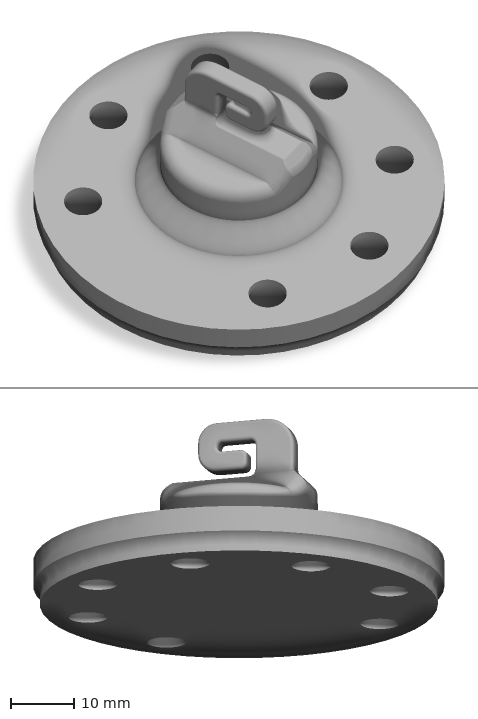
import cadquery as cq
import math

flange_radius = 32.5
flange_bottom = 3.0
flange_top = 7.0
lip_radius = 31.45
cove_radius = 2.1

hole_places = 8
empty_place = 6
hole_circle_radius = 25.0
hole_diameter = 6.05

boss_radius = 12.5
boss_bottom = 11.0
boss_top = 16.95
cone_radius = boss_radius + boss_bottom - flange_top
boss_rounding = 1.95

bar_width = 3.2
hook_top = 29.7
hook_left = -9.5
hook_right = 6.4
hook_inner_left = -3.2
tip_left = -1.7
slot_height = 1.55
heel_radius = 4.7
nose_radius = 3.1
tip_radius = 1.0
throat_radius = 1.0
edge_rounding = 0.5

foot_height = 21.0
ridge_height = 20.15
ridge_rounding = 0.4
foot_rounding = 1.0
step_rounding = 0.8

half_bar = bar_width / 2


def make_base():
    """Lip, cove, flange and cone turned about Z."""
    step = flange_radius - lip_radius
    cove_drop = math.sqrt(cove_radius**2 - (cove_radius - step) ** 2)
    half_drop = cove_drop / 2
    cove_middle = lip_radius + cove_radius - math.sqrt(cove_radius**2 - half_drop**2)
    profile = (
        cq.Workplane("XZ")
        .lineTo(lip_radius, 0)
        .lineTo(lip_radius, flange_bottom - cove_drop)
        .threePointArc((cove_middle, flange_bottom - half_drop), (flange_radius, flange_bottom))
        .lineTo(flange_radius, flange_top)
        .lineTo(cone_radius, flange_top)
        .lineTo(boss_radius, boss_bottom)
        .lineTo(0, boss_bottom)
        .close()
    )
    return profile.revolve(360, (0, 0, 0), (0, 1, 0))


def make_holes():
    """Cylinders for the bolt holes right through the flange."""
    places = [
        (
            hole_circle_radius * math.cos(math.tau * place / hole_places),
            hole_circle_radius * math.sin(math.tau * place / hole_places),
        )
        for place in range(hole_places)
        if place != empty_place
    ]
    return cq.Workplane("XY").pushPoints(places).circle(hole_diameter / 2).extrude(flange_top)


def boss_cylinder(top):
    """Cylinder standing on the cone and reaching up to the given height."""
    return cq.Workplane("XY").workplane(offset=boss_bottom).circle(boss_radius).extrude(top - boss_bottom)


def gable(plane, half_foot, top):
    """Long flat-topped prism; its 45 degree slopes lie half_foot from the middle at foot height."""
    half_top = half_foot + foot_height - top
    half_bottom = half_foot + foot_height - boss_bottom
    return (
        cq.Workplane(plane)
        .moveTo(-half_bottom, boss_bottom)
        .lineTo(-half_top, top)
        .lineTo(half_top, top)
        .lineTo(half_bottom, boss_bottom)
        .close()
        .extrude(2 * boss_radius, both=True)
    )


def make_roof(top):
    """Hipped roof whose slopes pass through the outer end and the sides of the hook at foot height."""
    return gable("YZ", half_bar, top).intersect(gable("XZ", -hook_left, top))


def make_ridge():
    """Roof trimmed to the boss, with a step down beside the foot of the hook."""
    roof = make_roof(foot_height)
    ridge = boss_cylinder(foot_height).intersect(roof).edges("%ELLIPSE").fillet(boss_rounding)

    low_part = make_roof(ridge_height).edges("not <Z").fillet(ridge_rounding)

    step_end = hook_inner_left + step_rounding
    high_part = roof.edges("not(#Z or |X or |Y)").fillet(ridge_rounding)
    step = (
        cq.Workplane("XZ")
        .moveTo(hook_inner_left, foot_height)
        .lineTo(hook_inner_left, ridge_height + step_rounding)
        .radiusArc((step_end, ridge_height), -step_rounding)
        .lineTo(step_end, boss_bottom)
        .lineTo(-2 * boss_radius, boss_bottom)
        .lineTo(-2 * boss_radius, foot_height)
        .close()
        .extrude(boss_radius, both=True)
    )
    return ridge.intersect(low_part.union(high_part.intersect(step)))


def bend(path, centre_x, centre_z, radius, start, end):
    """Add an arc about a centre, running from the start angle to the end angle in degrees."""
    middle = math.radians((start + end) / 2)
    last = math.radians(end)
    return path.threePointArc(
        (centre_x + radius * math.cos(middle), centre_z + radius * math.sin(middle)),
        (centre_x + radius * math.cos(last), centre_z + radius * math.sin(last)),
    )


def make_hook():
    """Hook-shaped plate in the XZ plane with rounded edges; the slot opens towards its foot."""
    slot_top = hook_top - bar_width
    slot_bottom = slot_top - slot_height
    slot_radius = slot_height / 2
    slot_end = hook_right - bar_width
    tip_bottom = slot_bottom - bar_width

    path = cq.Workplane("XZ", origin=(0, half_bar, 0)).moveTo(hook_left, foot_height)

    path = path.lineTo(hook_left, hook_top - heel_radius)
    path = bend(path, hook_left + heel_radius, hook_top - heel_radius, heel_radius, 180, 90)
    path = path.lineTo(hook_right - nose_radius, hook_top)
    path = bend(path, hook_right - nose_radius, hook_top - nose_radius, nose_radius, 90, 0)
    path = path.lineTo(hook_right, tip_bottom + nose_radius)
    path = bend(path, hook_right - nose_radius, tip_bottom + nose_radius, nose_radius, 0, -90)

    path = path.lineTo(tip_left + tip_radius, tip_bottom)
    path = bend(path, tip_left + tip_radius, tip_bottom + tip_radius, tip_radius, 270, 180)
    path = path.lineTo(tip_left, slot_bottom - tip_radius)
    path = bend(path, tip_left + tip_radius, slot_bottom - tip_radius, tip_radius, 180, 90)

    path = path.lineTo(slot_end - slot_radius, slot_bottom)
    path = bend(path, slot_end - slot_radius, slot_top - slot_radius, slot_radius, -90, 90)
    path = path.lineTo(hook_inner_left + throat_radius, slot_top)
    path = bend(path, hook_inner_left + throat_radius, slot_top - throat_radius, throat_radius, 90, 180)
    path = path.lineTo(hook_inner_left, foot_height).close()

    hook = path.extrude(bar_width)
    return hook.faces("<Y or >Y").edges("not <Z").fillet(edge_rounding)


def make_foot_cove():
    """Concave rounding between the slopes and the two sides and outer end of the hook."""
    rise = foot_rounding * math.tan(math.radians(45 / 2))
    reach = rise * math.cos(math.radians(45))
    side = half_bar - edge_rounding
    back = hook_left + edge_rounding
    path = (
        cq.Workplane("XY", origin=(0, 0, foot_height))
        .moveTo(hook_inner_left, -half_bar)
        .lineTo(back, -half_bar)
        .tangentArcPoint((hook_left, -side), relative=False)
        .lineTo(hook_left, side)
        .tangentArcPoint((back, half_bar), relative=False)
        .lineTo(hook_inner_left, half_bar)
    )
    inside = half_bar - edge_rounding / 2
    profile = (
        cq.Workplane("YZ", origin=(hook_inner_left, 0, 0))
        .moveTo(-inside, foot_height + rise)
        .lineTo(-half_bar, foot_height + rise)
        .radiusArc((-half_bar - reach, foot_height - reach), foot_rounding)
        .lineTo(-inside, foot_height - reach)
        .close()
    )
    return profile.sweep(path)


cap = boss_cylinder(boss_top).faces(">Z").edges().fillet(boss_rounding)
crown = make_ridge().union(make_hook()).union(make_foot_cove())
result = make_base().union(cap).union(crown).cut(make_holes())